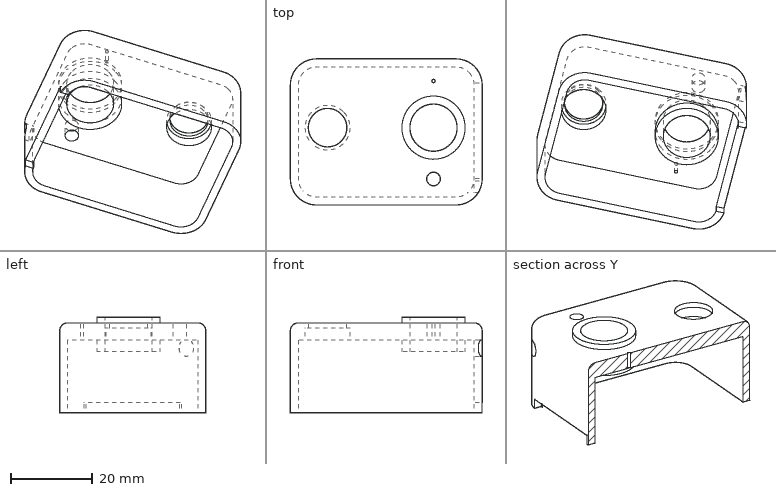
import cadquery as cq

LENGTH = 47.16
WIDTH = 35.95
BODY_HEIGHT = 22.1
WALL = 2.0
LID_THICKNESS = 4.2
CORNER_RADIUS = 6.5
TOP_EDGE_RADIUS = 2.0
CAVITY_TOP = BODY_HEIGHT - LID_THICKNESS

RING_BORE = 11.53
RING_OUTER = RING_BORE + 2 * WALL
RING_HEIGHT = 1.4
RING_TOP = BODY_HEIGHT + RING_HEIGHT
RING_CENTER = (11.6, 1.05)
TUBE_LENGTH = 8.5

SMALL_HOLE_DIAMETER = 3.3
SMALL_HOLE_CENTER = (RING_CENTER[0], -11.55)
PINHOLE_DIAMETER = 0.75
PINHOLE_CENTER = (RING_CENTER[0], 12.5)

BUTTON_HOLE_DIAMETER = 9.4
BUTTON_CENTER = (-14.4, RING_CENTER[1])
BUTTON_LIP = 1.28
BUTTON_RECESS_DIAMETER = 11.0

PORT_WIDTH = 3.5
PORT_HEIGHT = 4.05
PORT_CORNER_RADIUS = 1.7
PORT_SIDE_Y = -14.9
PORT_CENTER_Z = 15.9

NOTCH_WIDTH = 24.0
NOTCH_HEIGHT = 2.5

CUTTER_DEPTH = 2 * WALL


def rounded_block(length, width, height, corner_radius):
    """Block standing on Z = 0 with rounded upright edges."""
    block = cq.Workplane("XY").box(length, width, height, centered=(True, True, False))
    return block.edges("|Z").fillet(corner_radius)


def cylinder(diameter, center, bottom, top):
    """Upright cylinder between two heights."""
    base = cq.Workplane("XY", origin=(*center, bottom))
    return base.circle(diameter / 2).extrude(top - bottom)


def housing():
    """Hollow box with a rounded top edge."""
    outside = rounded_block(LENGTH, WIDTH, BODY_HEIGHT, CORNER_RADIUS)
    outside = outside.faces(">Z").edges().fillet(TOP_EDGE_RADIUS)
    cavity = rounded_block(
        LENGTH - 2 * WALL,
        WIDTH - 2 * WALL,
        CAVITY_TOP,
        CORNER_RADIUS - WALL,
    )
    return outside.cut(cavity)


def add_ring(body):
    """Add the raised ring with its tube, and bore it through."""
    ring = cylinder(RING_OUTER, RING_CENTER, RING_TOP - TUBE_LENGTH, RING_TOP)
    bore = cylinder(RING_BORE, RING_CENTER, 0, RING_TOP)
    return body.union(ring).cut(bore)


def cut_button_hole(body):
    """Cut the stepped button hole through the lid."""
    hole = cylinder(BUTTON_HOLE_DIAMETER, BUTTON_CENTER, CAVITY_TOP, BODY_HEIGHT)
    recess = cylinder(BUTTON_RECESS_DIAMETER, BUTTON_CENTER, CAVITY_TOP, BODY_HEIGHT - BUTTON_LIP)
    return body.cut(hole).cut(recess)


def cut_lid_holes(body):
    """Cut the small hole and the pinhole through the lid."""
    small_hole = cylinder(SMALL_HOLE_DIAMETER, SMALL_HOLE_CENTER, CAVITY_TOP, BODY_HEIGHT)
    pinhole = cylinder(PINHOLE_DIAMETER, PINHOLE_CENTER, CAVITY_TOP, BODY_HEIGHT)
    return body.cut(small_hole).cut(pinhole)


def cut_port(body):
    """Cut the rounded port through the +X wall."""
    center = (LENGTH / 2, PORT_SIDE_Y + PORT_WIDTH / 2, PORT_CENTER_Z)
    port = cq.Workplane("XY").box(CUTTER_DEPTH, PORT_WIDTH, PORT_HEIGHT)
    port = port.edges("|X").fillet(PORT_CORNER_RADIUS)
    return body.cut(port.translate(center))


def cut_notch(body):
    """Cut the notch into the bottom edge of the +X wall."""
    notch = cq.Workplane("XY").box(CUTTER_DEPTH, NOTCH_WIDTH, NOTCH_HEIGHT, centered=(True, True, False))
    return body.cut(notch.translate((LENGTH / 2, 0, 0)))


result = housing()
result = add_ring(result)
result = cut_button_hole(result)
result = cut_lid_holes(result)
result = cut_port(result)
result = cut_notch(result)